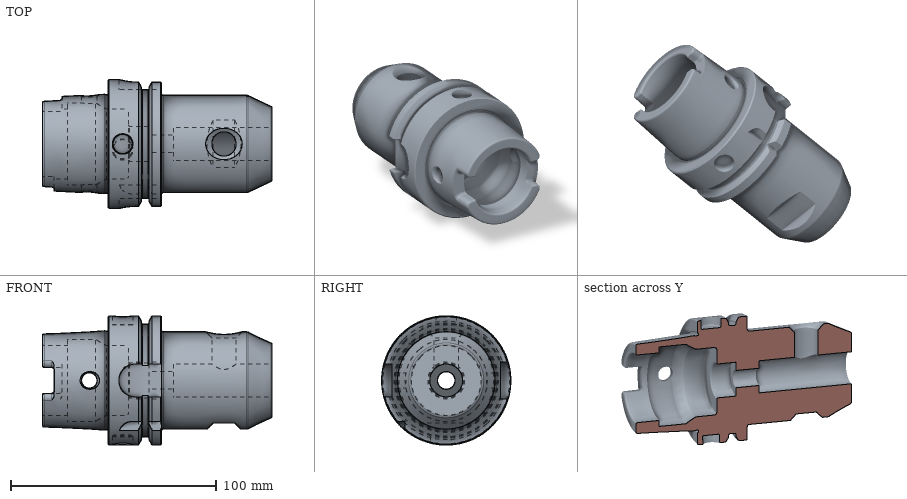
import cadquery as cq
import math


SHANK_LENGTH = 32.0
GAUGE_DIAMETER = 48.01
GAUGE_DISTANCE = 6.3
TAPER_RATIO = 1 / 9.98
MOUTH_ROUND = 1.0
RELIEF_DIAMETER = 48.13
RELIEF_START = -1.7
RELIEF_FULL = -0.95
FACE_RECESS_DEPTH = 0.4
FACE_RECESS_FLOOR_RADIUS = 24.9
FACE_RECESS_RADIUS = 25.4

CAVITY_DIAMETER = 34.0
CAVITY_FLOOR = 10.0
CAVITY_FLOOR_ROUND = 1.3
UNDERCUT_DIAMETER = 40.0
UNDERCUT_START = -19.7
UNDERCUT_END = -6.0
UNDERCUT_RUNOUT_ANGLE = 30.0
THREAD_CORE_DIAMETER = 16.92
THREAD_ENTRY_DIAMETER = 18.0
THREAD_DEPTH = 10.0
COOLANT_DIAMETER = 8.5

FLANGE_DIAMETER = 63.0
FLANGE_WIDTH = 26.0
FLANGE_FRONT_CHAMFER = 0.6
FLANGE_REAR_CHAMFER = 0.4
GROOVE_CENTER = 18.13
GROOVE_DIAMETER = 55.0
GROOVE_FLOOR_WIDTH = 3.5
GROOVE_MOUTH_WIDTH = 6.6
GROOVE_FLANK_DEPTH = 2.6
GROOVE_CORNER_RADIUS = 0.5

NOSE_DIAMETER = 47.5
NOSE_END = 80.0
NOSE_ROOT_RADIUS = 1.0
CONE_START = 67.9
CONE_END_RADIUS = 18.0
CONE_BLEND_RADIUS = 1.5
NOSE_EDGE_ROUND = 1.0
TOOL_BORE_DIAMETER = 16.0
TOOL_BORE_DEPTH = 48.0

SCREW_X = 56.5
SCREW_HOLE_DIAMETER = 11.84
NOSE_RECESS_DEPTH = 3.0
BALANCE_FLOOR_LENGTH = 10.5

SLOT_WIDTH = 12.54
SLOT_DEPTH_FRONT = 5.8
SLOT_DEPTH_BACK = 9.6
SLOT_CORNER_RADIUS = 1.3
SLOT_LIP_ROUND = 2.4

ACCESS_HOLE_X = -9.1
ACCESS_HOLE_DIAMETER = 7.5
ACCESS_SINK_DIAMETER = 9.4

RIM_HOLE_X = 7.15
RIM_HOLE_DIAMETER = 10.0
RIM_HOLE_DEPTH = 4.5
RIM_HOLE_FLOOR_CHAMFER = 0.3
RIM_HOLE_TURNS = (0.0, 174.7)

NOTCH_START = 5.3
NOTCH_FLOOR = 26.5
NOTCH_WIDTH_FRONT = 16.0
NOTCH_WIDTH_BACK = 18.0
CORNER_NOTCH_OFFSET = 20.0
CORNER_NOTCH_RADIUS = 6.35

OVERCUT = 1.0
TOLERANCE = 0.01

NOSE_RADIUS = NOSE_DIAMETER / 2
FLANGE_RADIUS = FLANGE_DIAMETER / 2
SHANK_MOUTH = -SHANK_LENGTH
FRONT = -1
BACK = 1
SLOT_DEPTHS = {FRONT: SLOT_DEPTH_FRONT, BACK: SLOT_DEPTH_BACK}
NOTCH_WIDTHS = {FRONT: NOTCH_WIDTH_FRONT, BACK: NOTCH_WIDTH_BACK}


def taper_radius(x):
    return GAUGE_DIAMETER / 2 + (x + GAUGE_DISTANCE) * TAPER_RATIO / 2


def axial_cylinder(diameter, x_start, x_end):
    section = cq.Workplane("YZ", origin=(x_start, 0, 0)).circle(diameter / 2)
    return section.extrude(x_end - x_start)


def sink_45(center, direction, bottom_radius, depth):
    """Cone that opens at 45 degrees along the given direction."""
    cone = cq.Solid.makeCone(
        bottom_radius, bottom_radius + depth, depth, cq.Vector(*center), cq.Vector(*direction)
    )
    return cq.Workplane(cone)


def turned_shank_and_flange():
    relief = RELIEF_DIAMETER / 2
    profile = (
        cq.Workplane("XY")
        .moveTo(SHANK_MOUTH, 0)
        .lineTo(SHANK_MOUTH, taper_radius(SHANK_MOUTH))
        .lineTo(RELIEF_START, taper_radius(RELIEF_START))
        .lineTo(RELIEF_FULL, relief)
        .lineTo(FACE_RECESS_DEPTH, relief)
        .lineTo(FACE_RECESS_DEPTH, FACE_RECESS_FLOOR_RADIUS)
        .lineTo(0, FACE_RECESS_RADIUS)
        .lineTo(0, FLANGE_RADIUS - FLANGE_FRONT_CHAMFER)
        .lineTo(FLANGE_FRONT_CHAMFER, FLANGE_RADIUS)
        .lineTo(FLANGE_WIDTH - FLANGE_REAR_CHAMFER, FLANGE_RADIUS)
        .lineTo(FLANGE_WIDTH, FLANGE_RADIUS - FLANGE_REAR_CHAMFER)
        .lineTo(FLANGE_WIDTH, 0)
        .close()
    )
    return profile.revolve(360, (0, 0, 0), (1, 0, 0))


def gripper_groove():
    """Ring cutter with a straight-walled floor and flared flanks."""
    floor = GROOVE_DIAMETER / 2
    corner = GROOVE_CORNER_RADIUS
    left = GROOVE_CENTER - GROOVE_FLOOR_WIDTH / 2
    right = GROOVE_CENTER + GROOVE_FLOOR_WIDTH / 2
    flank_end = FLANGE_RADIUS - GROOVE_FLANK_DEPTH
    profile = (
        cq.Workplane("XY")
        .moveTo(GROOVE_CENTER - GROOVE_MOUTH_WIDTH / 2, FLANGE_RADIUS)
        .lineTo(left, flank_end)
        .lineTo(left, floor + corner)
        .radiusArc((left + corner, floor), -corner)
        .lineTo(right - corner, floor)
        .radiusArc((right, floor + corner), -corner)
        .lineTo(right, flank_end)
        .lineTo(GROOVE_CENTER + GROOVE_MOUTH_WIDTH / 2, FLANGE_RADIUS)
        .close()
    )
    return profile.revolve(360, (0, 0, 0), (1, 0, 0))


def turned_nose():
    profile = (
        cq.Workplane("XY")
        .moveTo(FLANGE_WIDTH, 0)
        .lineTo(FLANGE_WIDTH, NOSE_RADIUS + NOSE_ROOT_RADIUS)
        .radiusArc((FLANGE_WIDTH + NOSE_ROOT_RADIUS, NOSE_RADIUS), -NOSE_ROOT_RADIUS)
        .lineTo(CONE_START, NOSE_RADIUS)
        .lineTo(NOSE_END, CONE_END_RADIUS)
        .lineTo(NOSE_END, 0)
        .close()
    )
    nose = profile.revolve(360, (0, 0, 0), (1, 0, 0))
    nose = nose.faces(">X").edges().fillet(NOSE_EDGE_ROUND)
    cone_edge = [
        edge
        for edge in nose.edges("%CIRCLE").vals()
        if abs(edge.Center().x - CONE_START) < TOLERANCE
    ]
    return nose.newObject(cone_edge).fillet(CONE_BLEND_RADIUS)


def cavity_undercut():
    """Widened stretch of the cavity that narrows back through a cone."""
    wide = UNDERCUT_DIAMETER / 2
    narrow = CAVITY_DIAMETER / 2
    runout = (wide - narrow) / math.tan(math.radians(UNDERCUT_RUNOUT_ANGLE))
    outline = [
        (UNDERCUT_START, 0),
        (UNDERCUT_START, wide),
        (UNDERCUT_END, wide),
        (UNDERCUT_END + runout, narrow),
        (UNDERCUT_END + runout, 0),
    ]
    return cq.Workplane("XY").polyline(outline).close().revolve(360, (0, 0, 0), (1, 0, 0))


def cut_bores(body):
    cavity = axial_cylinder(CAVITY_DIAMETER, SHANK_MOUTH, CAVITY_FLOOR)
    cavity = cavity.faces(">X").edges().fillet(CAVITY_FLOOR_ROUND)
    body = body.cut(cavity)
    body = body.cut(cavity_undercut())

    thread_end = CAVITY_FLOOR + THREAD_DEPTH
    thread_entry_depth = (THREAD_ENTRY_DIAMETER - THREAD_CORE_DIAMETER) / 2
    thread_entry = sink_45(
        (CAVITY_FLOOR + thread_entry_depth, 0, 0),
        (-1, 0, 0),
        THREAD_CORE_DIAMETER / 2,
        thread_entry_depth,
    )
    body = body.cut(axial_cylinder(THREAD_CORE_DIAMETER, CAVITY_FLOOR, thread_end))
    body = body.cut(thread_entry)

    tool_bore_floor = NOSE_END - TOOL_BORE_DEPTH
    body = body.cut(axial_cylinder(COOLANT_DIAMETER, thread_end, tool_bore_floor))
    return body.cut(axial_cylinder(TOOL_BORE_DIAMETER, tool_bore_floor, NOSE_END))


def drive_slot(side):
    slot = cq.Workplane("XY").box(
        SLOT_DEPTHS[side], FLANGE_RADIUS, SLOT_WIDTH, centered=(False, True, True)
    )
    return slot.translate((SHANK_MOUTH, side * FLANGE_RADIUS / 2, 0))


def slot_lip_edges(body):
    """Edges along the shank where the slot walls meet the taper."""
    return [
        edge
        for edge in body.edges().vals()
        if edge.BoundingBox().xmin < SHANK_MOUTH + TOLERANCE
        and edge.BoundingBox().xlen > SLOT_DEPTH_FRONT / 2
        and abs(edge.Center().y) > CAVITY_DIAMETER / 2
    ]


def slot_floor_edges(body, side):
    """Straight edges between the floor and the two walls of one slot."""
    floor_x = SHANK_MOUTH + SLOT_DEPTHS[side]
    return [
        edge
        for edge in body.edges("%LINE").vals()
        if edge.BoundingBox().xlen < TOLERANCE
        and abs(edge.Center().x - floor_x) < TOLERANCE
        and edge.Center().y * side > 0
    ]


def cut_drive_slots(body):
    """Cut both slots, then round their lips, their floor corners and the shank mouth."""
    for side in SLOT_DEPTHS:
        body = body.cut(drive_slot(side))
    body = body.newObject(slot_lip_edges(body)).fillet(SLOT_LIP_ROUND)
    for side in SLOT_DEPTHS:
        body = body.newObject(slot_floor_edges(body, side)).fillet(SLOT_CORNER_RADIUS)
    return body.faces("<X").edges().fillet(MOUTH_ROUND)


def cut_access_holes(body):
    crest = taper_radius(ACCESS_HOLE_X)
    hole = cq.Workplane("XZ", origin=(ACCESS_HOLE_X, 0, 0)).circle(ACCESS_HOLE_DIAMETER / 2)
    body = body.cut(hole.extrude(crest + OVERCUT, both=True))
    sink_depth = (ACCESS_SINK_DIAMETER - ACCESS_HOLE_DIAMETER) / 2
    for side in (FRONT, BACK):
        sink = sink_45(
            (ACCESS_HOLE_X, side * (crest - sink_depth), 0),
            (0, side, 0),
            ACCESS_HOLE_DIAMETER / 2,
            sink_depth + OVERCUT,
        )
        body = body.cut(sink)
    return body


def cut_rim_holes(body):
    floor = FLANGE_RADIUS - RIM_HOLE_DEPTH
    hole = (
        cq.Workplane("XY", origin=(RIM_HOLE_X, 0, floor))
        .circle(RIM_HOLE_DIAMETER / 2)
        .extrude(RIM_HOLE_DEPTH + OVERCUT)
        .faces("<Z")
        .edges()
        .chamfer(RIM_HOLE_FLOOR_CHAMFER)
    )
    for turn in RIM_HOLE_TURNS:
        body = body.cut(hole.rotate((0, 0, 0), (1, 0, 0), turn))
    return body


def gripper_notch(side):
    """Round-ended notch with a flat floor, open toward the nose."""
    radius = NOTCH_WIDTHS[side] / 2
    round_x = NOTCH_START + radius
    outline = (
        cq.Workplane("XZ", origin=(0, side * NOTCH_FLOOR, 0))
        .moveTo(FLANGE_WIDTH, radius)
        .lineTo(round_x, radius)
        .radiusArc((round_x, -radius), -radius)
        .lineTo(FLANGE_WIDTH, -radius)
        .close()
    )
    return outline.extrude(-side * (FLANGE_RADIUS - NOTCH_FLOOR))


def corner_notch():
    """Right-angled notch at the -Y, -Z edge of the flange with a rounded end."""
    offset = CORNER_NOTCH_OFFSET
    radius = CORNER_NOTCH_RADIUS
    outline = (
        cq.Workplane("XZ", origin=(0, -offset, 0))
        .moveTo(FLANGE_WIDTH, -offset)
        .lineTo(NOTCH_START + radius, -offset)
        .radiusArc((NOTCH_START, -offset - radius), -radius)
        .lineTo(NOTCH_START, -FLANGE_RADIUS)
        .lineTo(FLANGE_WIDTH, -FLANGE_RADIUS)
        .close()
    )
    return outline.extrude(FLANGE_RADIUS - offset)


def cut_notches(body):
    for side in NOTCH_WIDTHS:
        body = body.cut(gripper_notch(side))
    return body.cut(corner_notch())


def cut_screw_hole(body):
    radius = SCREW_HOLE_DIAMETER / 2
    sink_floor = NOSE_RADIUS - NOSE_RECESS_DEPTH
    hole = cq.Workplane("XY", origin=(SCREW_X, 0, 0)).circle(radius).extrude(NOSE_RADIUS)
    sink = sink_45((SCREW_X, 0, sink_floor), (0, 0, 1), radius, NOSE_RECESS_DEPTH + OVERCUT)
    return body.cut(hole).cut(sink)


def cut_balance_groove(body):
    """Flat groove with 45 degree ends across the underside of the nose."""
    half_floor = BALANCE_FLOOR_LENGTH / 2
    half_mouth = half_floor + NOSE_RECESS_DEPTH
    floor = -(NOSE_RADIUS - NOSE_RECESS_DEPTH)
    outline = [
        (SCREW_X - half_floor, floor),
        (SCREW_X + half_floor, floor),
        (SCREW_X + half_mouth, -NOSE_RADIUS),
        (SCREW_X - half_mouth, -NOSE_RADIUS),
    ]
    groove = cq.Workplane("XZ").polyline(outline).close().extrude(NOSE_RADIUS, both=True)
    return body.cut(groove)


holder = turned_shank_and_flange().cut(gripper_groove()).union(turned_nose())
holder = cut_bores(holder)
holder = cut_drive_slots(holder)
holder = cut_access_holes(holder)
holder = cut_rim_holes(holder)
holder = cut_notches(holder)
holder = cut_screw_hole(holder)
holder = cut_balance_groove(holder)
result = holder